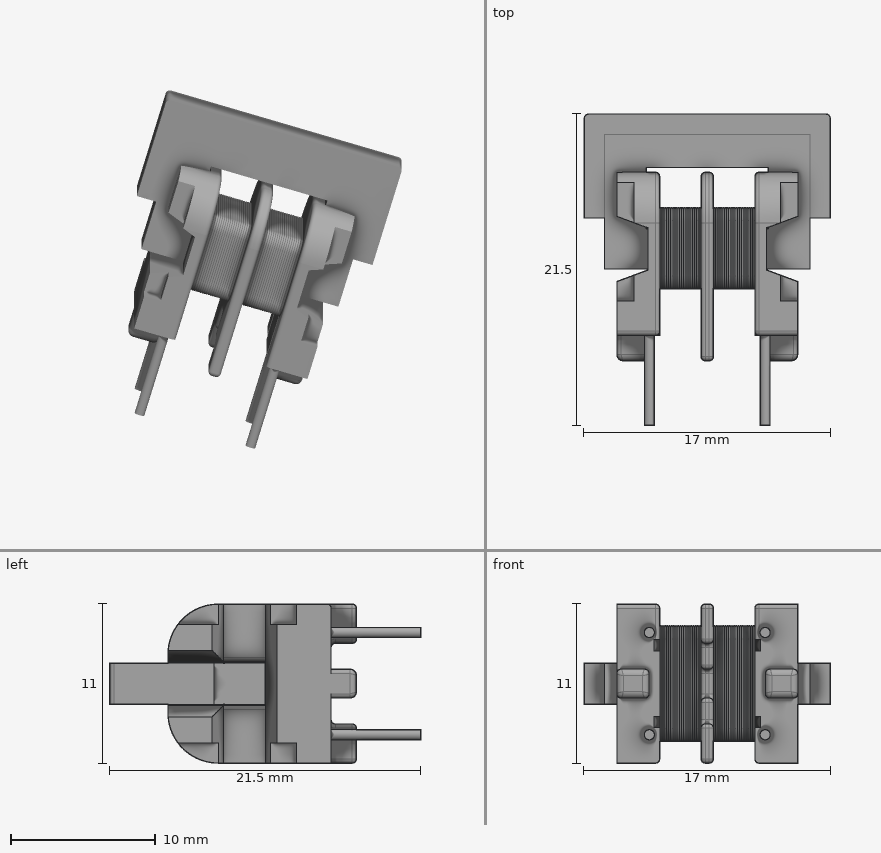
import cadquery as cq
import math


core_height = 2.85
core_back = 15.3
bracket_half_width = 8.5
bracket_thickness = 1.4
bracket_end = 8.1
bracket_corner_radius = 0.3
ring_half_width = bracket_half_width - bracket_thickness
ring_back = core_back - bracket_thickness
ring_front = 4.58
window_half_width = 4.2
window_back = 11.6
core_bar_thickness = 2.8

bobbin_half_height = 5.5
bobbin_back = 11.28
bobbin_back_radius = 3.5
flange_inner = 3.28
flange_outer = 6.25
edge_radius = 0.3

notch_floor = 4.1
notch_front = 4.53
notch_back = 7.43
notch_flare = 0.8
channel_floor_half_height = 1.5
channel_mouth_half_height = 2.3
core_hole_mouth_radius = 0.3

step_inner = 5.05
step_half_height = 4.1
step_front = 2.4

slot_bottom = 2.27
slot_top = 3.04
slot_depth = 0.4
slot_length = 3.2

rib_half_thickness = 0.43
foot_depth = 1.75
rib_slot_half_height = 2.78
rib_slot_end = 0.0
rib_notch_half_height = 1.0
rib_notch_end = 1.7

standoff_inner = 4.02
standoff_half_height = 1.0
standoff_end_radius = 0.45
pin_radius = 0.35
pin_length = 6.2
pin_x = 4.0
pin_z = 3.53

coil_half_height = 4.0
coil_front = 3.2
coil_back = 8.83
coil_corner_radius = 0.9
turns_per_half = 19
turn_pitch = (flange_inner - rib_half_thickness) / turns_per_half
rounding_share = 0.49
turn_rounding = rounding_share * turn_pitch


def block(x_range, y_range, z_range):
    """Box spanning the given (low, high) ranges."""
    sizes = [high - low for low, high in (x_range, y_range, z_range)]
    corner = (x_range[0], y_range[0], z_range[0])
    return cq.Workplane("XY").box(*sizes, centered=False).translate(corner)


def make_core():
    half = core_height / 2
    z_range = (-half, half)
    bracket = block((-bracket_half_width, bracket_half_width), (bracket_end, core_back), z_range)
    bracket = bracket.edges("|Z and >Y").fillet(bracket_corner_radius)
    bracket = bracket.cut(block((-ring_half_width, ring_half_width), (bracket_end, ring_back), z_range))
    ring = block((-ring_half_width, ring_half_width), (ring_front, ring_back), z_range)
    window_front = ring_front + core_bar_thickness
    window = block((-window_half_width, window_half_width), (window_front, window_back), z_range)
    return bracket.union(ring.cut(window), clean=False)


def bobbin_plate(x_start, x_end, front):
    """Plate normal to X whose two back corners are rounded."""
    plate = block((x_start, x_end), (front, bobbin_back), (-bobbin_half_height, bobbin_half_height))
    return plate.edges("|X and >Y").fillet(bobbin_back_radius)


def wire_slot():
    """Wedge, deepest at the mounting face and running out along the inner face."""
    return (
        cq.Workplane("XY")
        .workplane(offset=slot_bottom)
        .polyline([(flange_inner, 0), (flange_inner + slot_depth, 0), (flange_inner, slot_length)])
        .close()
        .extrude(slot_top - slot_bottom)
    )


def leg_notch():
    """Flared notch through the full height of the flange's outer side."""
    outline = [
        (notch_floor, notch_front),
        (notch_floor, notch_back),
        (flange_outer, notch_back + notch_flare),
        (flange_outer, notch_front - notch_flare),
    ]
    return (
        cq.Workplane("XY")
        .polyline(outline)
        .close()
        .extrude(bobbin_half_height, both=True)
    )


def leg_channel():
    """Flared channel that lets the core leg run on to the back of the flange."""
    outline = [
        (notch_floor, -channel_floor_half_height),
        (flange_outer, -channel_mouth_half_height),
        (flange_outer, channel_mouth_half_height),
        (notch_floor, channel_floor_half_height),
    ]
    return (
        cq.Workplane("XZ", origin=(0, notch_back, 0))
        .polyline(outline)
        .close()
        .extrude(notch_back - bobbin_back)
    )


def core_hole():
    """Opening for the core bar, with rounded upper and lower mouth edges."""
    half = channel_floor_half_height
    mouth_half = half + core_hole_mouth_radius
    throat = notch_floor - core_hole_mouth_radius
    bend = core_hole_mouth_radius * (1 - math.sqrt(0.5))
    return (
        cq.Workplane("XZ", origin=(0, notch_front, 0))
        .moveTo(flange_inner, -half)
        .lineTo(throat, -half)
        .threePointArc((notch_floor - bend, -half - bend), (notch_floor, -mouth_half))
        .lineTo(notch_floor, mouth_half)
        .threePointArc((notch_floor - bend, half + bend), (throat, half))
        .lineTo(flange_inner, half)
        .close()
        .extrude(notch_front - notch_back)
    )


def front_inner_edge(flange):
    """Front edge of the inner face, above the upper wire slot."""
    edges = flange.faces("<X").edges("|Z and <Y").vals()
    return [edge for edge in edges if edge.Center().z > slot_top]


def make_flange():
    """Flange on the +X side."""
    flange = bobbin_plate(flange_inner, flange_outer, 0)
    for slot in (wire_slot(), wire_slot().mirror("XY")):
        flange = flange.cut(slot)
    rim = flange.faces("<X").edges(">Y").vals()
    upper_front = flange.edges("|X and <Y and >Z").vals()
    flange = flange.newObject(rim + upper_front + front_inner_edge(flange)).fillet(edge_radius)
    flange = flange.cut(leg_notch()).cut(leg_channel()).cut(core_hole())
    for z_range in ((step_half_height, bobbin_half_height), (-bobbin_half_height, -step_half_height)):
        flange = flange.cut(block((step_inner, flange_outer), (step_front, bobbin_back), z_range))
    return flange


def make_rib():
    rib = bobbin_plate(-rib_half_thickness, rib_half_thickness, -foot_depth)
    x_range = (-rib_half_thickness, rib_half_thickness)
    slot_z = (-rib_slot_half_height, rib_slot_half_height)
    notch_z = (-rib_notch_half_height, rib_notch_half_height)
    rib = rib.cut(block(x_range, (-foot_depth, rib_slot_end), slot_z))
    rib = rib.cut(block(x_range, (rib_slot_end, rib_notch_end), notch_z))
    rib = rib.edges("|X and (not >Y)").fillet(edge_radius)
    return rib.faces("<X or >X").edges().fillet(edge_radius)


def make_standoff():
    standoff = block(
        (standoff_inner, flange_outer),
        (-foot_depth, 0),
        (-standoff_half_height, standoff_half_height),
    )
    standoff = standoff.edges("|Y").fillet(edge_radius)
    return standoff.faces("<Y").edges().fillet(standoff_end_radius)


def make_pin(z):
    mounting_face = cq.Plane(origin=(pin_x, 0, z), xDir=(0, 0, 1), normal=(0, -1, 0))
    return cq.Workplane(mounting_face).circle(pin_radius).extrude(pin_length)


def make_turn():
    """One turn of wire with rounded flanks, filled in to the winding axis."""
    coil_centre = (coil_front + coil_back) / 2
    return (
        cq.Workplane("YZ", origin=(rib_half_thickness, coil_centre, 0))
        .rect(coil_back - coil_front, 2 * coil_half_height)
        .extrude(turn_pitch)
        .edges("|X")
        .fillet(coil_corner_radius)
        .faces("<X or >X")
        .edges()
        .fillet(turn_rounding)
    )


def make_half_coil():
    turn = make_turn().val()
    turns = [turn.translate(cq.Vector(i * turn_pitch, 0, 0)) for i in range(turns_per_half)]
    return cq.Workplane(turns[0].fuse(*turns[1:]))


def make_half_bobbin():
    """Everything on the +X side of the rib, apart from the core."""
    half = make_flange().union(make_standoff())
    for z in (-pin_z, pin_z):
        half = half.union(make_pin(z))
    return half.union(make_half_coil(), clean=False)


half_bobbin = make_half_bobbin()
result = (
    make_rib()
    .union(half_bobbin, clean=False)
    .union(half_bobbin.mirror("YZ"), clean=False)
    .union(make_core(), clean=False)
)